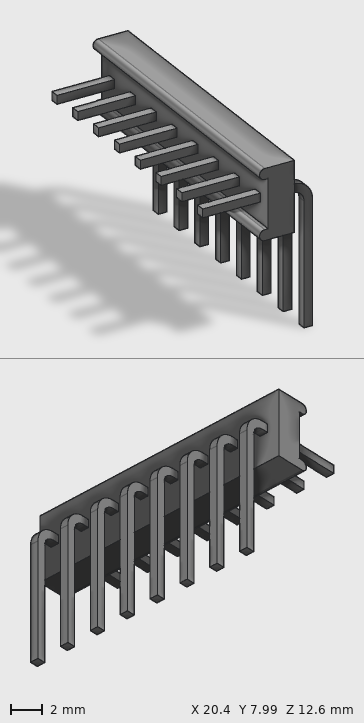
import cadquery as cq


pin_count = 8
pitch = 2.55
pin_width = 0.63

housing_length = pin_count * pitch
housing_height = 2 * pitch
housing_depth = pitch
wall_thickness = 1.9
lip_thickness = 0.77
lip_radius = lip_thickness / 2

pin_front_reach = 3.55
pin_back_reach = 1.89
tail_drop = 7.5
bend_inner_radius = 0.77
bend_outer_radius = bend_inner_radius + pin_width


def make_housing():
    """C-shaped section with full-round lips, extruded along the row."""
    top = housing_height / 2
    lip_inside = top - lip_thickness
    lip_center_y = -housing_depth + lip_radius
    lip_center_z = top - lip_radius
    profile = (
        cq.Workplane("YZ")
        .moveTo(0, top)
        .lineTo(lip_center_y, top)
        .threePointArc((-housing_depth, lip_center_z), (lip_center_y, lip_inside))
        .lineTo(-wall_thickness, lip_inside)
        .lineTo(-wall_thickness, -lip_inside)
        .lineTo(lip_center_y, -lip_inside)
        .threePointArc((-housing_depth, -lip_center_z), (lip_center_y, -top))
        .lineTo(0, -top)
        .close()
    )
    return profile.extrude(housing_length / 2, both=True)


def make_pin():
    """Square pin, centred on X = 0, turning down behind the housing."""
    tip_y = -housing_depth - pin_front_reach
    tail_back = pin_back_reach
    tail_front = tail_back - pin_width
    tail_end = -housing_height / 2 - tail_drop
    pin_top = pin_width / 2
    pin_bottom = -pin_top
    bend_y = tail_back - bend_outer_radius
    bend_z = pin_top - bend_outer_radius
    profile = (
        cq.Workplane("YZ")
        .moveTo(tip_y, pin_top)
        .lineTo(bend_y, pin_top)
        .radiusArc((tail_back, bend_z), bend_outer_radius)
        .lineTo(tail_back, tail_end)
        .lineTo(tail_front, tail_end)
        .lineTo(tail_front, bend_z)
        .radiusArc((bend_y, pin_bottom), -bend_inner_radius)
        .lineTo(tip_y, pin_bottom)
        .close()
    )
    return profile.extrude(pin_width / 2, both=True)


result = make_housing()
pin = make_pin()
first_pin_x = -(pin_count - 1) * pitch / 2
for index in range(pin_count):
    result = result.union(pin.translate((first_pin_x + index * pitch, 0, 0)))